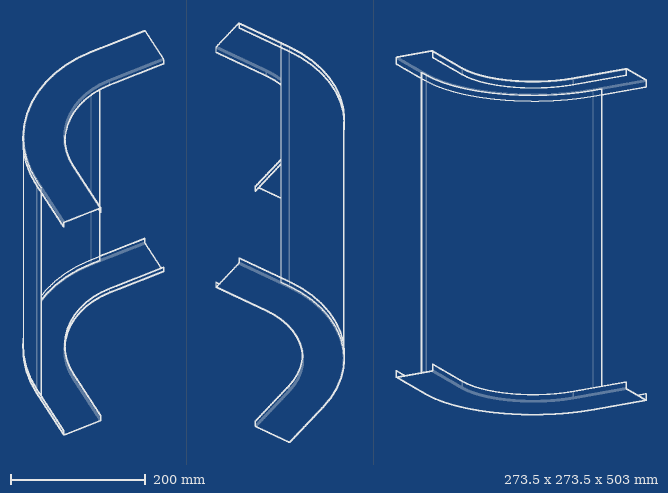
import cadquery as cq
import math

height = 503.0
span = 273.5
outer_radius = 183.5
channel_width = 63.0

sheet = 1.0
flange_height = 11.0
fold_radius = 2.0
panel_straight = 14.5

arm_length = span - outer_radius
inner_radius = outer_radius - channel_width


def bent_band(outer, inner, straight, thickness):
    """Quarter ring with a straight run at both ends, standing on Z = 0."""
    diagonal = math.sqrt(0.5)
    return (
        cq.Workplane("XY")
        .moveTo(-outer, straight)
        .lineTo(-outer, 0)
        .threePointArc((-outer * diagonal, -outer * diagonal), (0, -outer))
        .lineTo(straight, -outer)
        .lineTo(straight, -inner)
        .lineTo(0, -inner)
        .threePointArc((-inner * diagonal, -inner * diagonal), (-inner, 0))
        .lineTo(-inner, straight)
        .close()
        .extrude(thickness)
    )


def folded_band(inset, radius):
    """Channel-high band, narrowed by inset on both sides, its long lower edges rounded."""
    band = bent_band(outer_radius - inset, inner_radius + inset, arm_length, flange_height)
    return band.edges("<Z and (not (>X or >Y))").fillet(radius)


def make_channel():
    """U channel lying on Z = 0, with its flanges pointing up and both ends open."""
    outside = folded_band(0, fold_radius)
    inside = folded_band(sheet, fold_radius - sheet).translate((0, 0, sheet))
    return outside.cut(inside)


def make_panel():
    """Tall curved sheet against the outer flanges, ending where the folds begin."""
    face_radius = outer_radius - sheet
    panel_height = height - 2 * fold_radius
    panel = bent_band(face_radius, face_radius - sheet, panel_straight, panel_height)
    return panel.translate((0, 0, fold_radius))


bottom_channel = make_channel()
top_channel = bottom_channel.mirror("XY").translate((0, 0, height))
panel = make_panel()

result = cq.Compound.makeCompound([bottom_channel.val(), top_channel.val(), panel.val()])